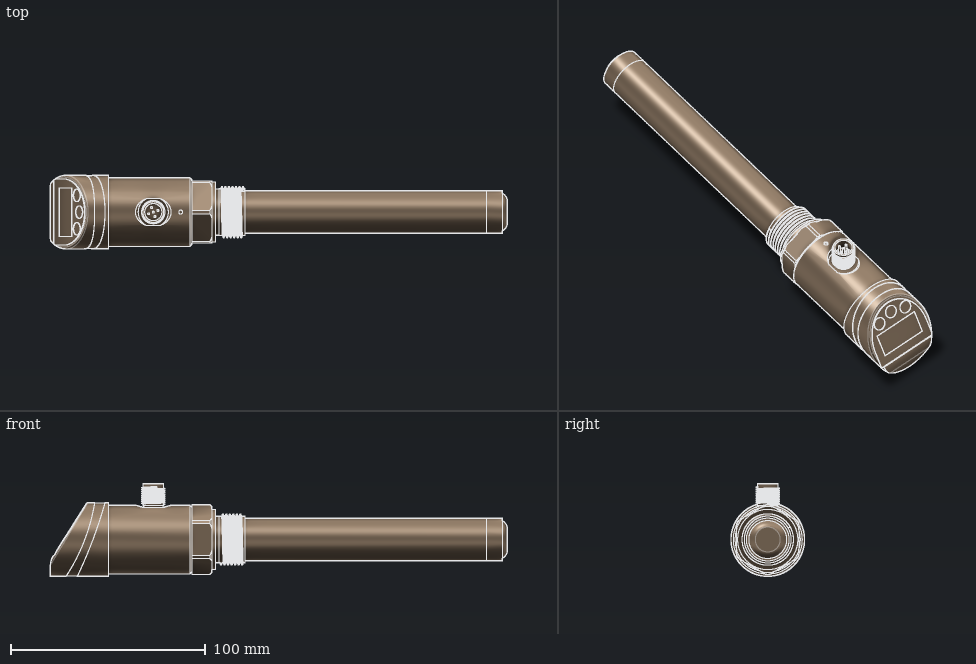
import cadquery as cq
import math


CAP_END = 30.0
HOUSING_END = 72.8
HEX_END = 83.1
COLLAR_END = 85.1
PROCESS_THREAD_START = 86.9
PROCESS_THREAD_END = 100.2
TUBE_END = 224.4
SENSOR_END = 235.0

CAP_DIAMETER = 38.0
CAP_RADIUS = CAP_DIAMETER / 2
FACE_TOP_X = 18.9
FACE_FOOT_Z = -10.8
NOSE_RADIUS = 10.4
FACE_RIM_RADIUS = 1.0
BAND_DEPTH = 0.2
BAND_FRONT_EDGE = ((8.1, -CAP_RADIUS), (17.8, 0), (22.9, CAP_RADIUS))
BAND_REAR_EDGE = ((13.9, -CAP_RADIUS), (22.0, 0), (28.2, CAP_RADIUS))

PANEL_RADIUS = 17.0
PANEL_FOOT_Z = -8.2
PANEL_DEPTH = 0.3
WINDOW_WIDTH = 24.9
WINDOW_BOTTOM_Z = -4.0
WINDOW_TOP_Z = 6.1
WINDOW_DEPTH = 0.2
BUTTON_DIAMETER = 6.5
BUTTON_DEPTH = 1.2
BUTTON_CENTERS = ((-8.6, 10.6), (0, 12.5), (8.6, 10.6))

HOUSING_DIAMETER = 35.5
HOUSING_CHAMFER = 1.0
CONNECTOR_X = 53.0
SEAT_Z = 16.35
SEAT_DIAMETER = 15.5
SEAT_RIM_DIAMETER = 19.1
SEAT_RIM_HEIGHT = (SEAT_RIM_DIAMETER - SEAT_DIAMETER) / 2
VENT_X = 67.1
VENT_DIAMETER = 2.0
VENT_DEPTH = 1.0

CONNECTOR_TOP = 28.7
CONNECTOR_THREAD_START = 17.6
CONNECTOR_THREAD_END = 27.4
CONNECTOR_THREAD_DIAMETER = 12.0
CONNECTOR_CORE_DIAMETER = 10.7
CONNECTOR_PITCH = 1.0
CONNECTOR_NECK_DIAMETER = 10.0
SOCKET_DIAMETER = 8.8
SOCKET_DEPTH = 6.5
PIN_DIAMETER = 1.0
PIN_LENGTH = 5.5
PIN_CIRCLE_RADIUS = 2.5
PIN_COUNT = 4
FIRST_PIN_ANGLE = 20.0

HEX_ACROSS_FLATS = 32.0
HEX_CORNER_DIAMETER = 36.0
HEX_CHAMFER = 1.0
COLLAR_DIAMETER = 31.0
PROCESS_THREAD_DIAMETER = 26.44
PROCESS_CORE_DIAMETER = 24.1
PROCESS_NECK_DIAMETER = 24.0
PROCESS_PITCH = 1.814

TUBE_DIAMETER = 22.0
TIP_NOSE_LENGTH = 2.6
TIP_NOSE_DIAMETER = 19.5
TIP_FLAT_DIAMETER = 12.8
TIP_NOSE_ROUNDING = 5.0

RIDGE_FOOT_SHARE = 0.85
RIDGE_CREST_SHARE = 0.2
RIDGE_ROOT_OVERLAP = 0.3


def rod(start, end, diameter):
    """Cylinder on the sensor axis."""
    return cq.Workplane("YZ", origin=(start, 0, 0)).circle(diameter / 2).extrude(end - start)


def post(bottom, top, diameter, x=CONNECTOR_X, y=0.0):
    """Upright cylinder."""
    return cq.Workplane("XY", origin=(x, y, bottom)).circle(diameter / 2).extrude(top - bottom)


def threaded_rod(length, outer_diameter, core_diameter, pitch):
    """Upright rod standing on the origin, with a helical ridge that stays within its ends."""
    core_radius = core_diameter / 2
    outer_radius = outer_diameter / 2
    root_radius = core_radius - RIDGE_ROOT_OVERLAP
    half_foot = pitch * RIDGE_FOOT_SHARE / 2
    half_crest = pitch * RIDGE_CREST_SHARE / 2
    helix = cq.Wire.makeHelix(pitch, length - pitch, core_radius)
    ridge = (
        cq.Workplane("XZ")
        .moveTo(root_radius, -half_foot)
        .lineTo(outer_radius, -half_crest)
        .lineTo(outer_radius, half_crest)
        .lineTo(root_radius, half_foot)
        .close()
        .sweep(cq.Workplane(helix), isFrenet=True)
        .translate((0, 0, pitch / 2))
    )
    core = cq.Workplane("XY").circle(core_radius).extrude(length)
    return core.union(ridge)


face_angle = math.atan2(CAP_RADIUS - FACE_FOOT_Z, FACE_TOP_X)
face_x_at_axis = -FACE_FOOT_Z / math.tan(face_angle)
face_plane = cq.Plane(
    origin=(face_x_at_axis, 0, 0),
    xDir=(0, -1, 0),
    normal=(-math.sin(face_angle), 0, math.cos(face_angle)),
)


def along_face(z):
    """Distance up the slanted face that reaches height z."""
    return z / math.sin(face_angle)


def cap_side_profile():
    """Prism with the side outline of the cap, sharp at the foot of the face."""
    return (
        cq.Workplane("XZ")
        .moveTo(0, -CAP_RADIUS)
        .lineTo(CAP_END, -CAP_RADIUS)
        .lineTo(CAP_END, CAP_RADIUS)
        .lineTo(FACE_TOP_X, CAP_RADIUS)
        .lineTo(0, FACE_FOOT_Z)
        .close()
        .extrude(CAP_RADIUS, both=True)
    )


def cap_blank():
    """Obliquely cut cylinder with a softened face rim and a rounded nose."""
    rim_edge = cq.selectors.NearestToPointSelector((FACE_TOP_X, 0, CAP_RADIUS))
    nose_edge = cq.selectors.NearestToPointSelector((0, 0, FACE_FOOT_Z))
    oblique_cylinder = cap_side_profile().intersect(rod(0, CAP_END, CAP_DIAMETER))
    rounded_nose = cap_side_profile().edges(nose_edge).fillet(NOSE_RADIUS)
    return oblique_cylinder.edges(rim_edge).fillet(FACE_RIM_RADIUS).intersect(rounded_nose)


def band_groove():
    """Shallow curved band around the cap, open to its surface."""
    front_bottom, front_middle, front_top = BAND_FRONT_EDGE
    rear_bottom, rear_middle, rear_top = BAND_REAR_EDGE
    band = (
        cq.Workplane("XZ")
        .moveTo(*front_bottom)
        .threePointArc(front_middle, front_top)
        .lineTo(*rear_top)
        .threePointArc(rear_middle, rear_bottom)
        .close()
        .extrude(CAP_DIAMETER, both=True)
    )
    return band.cut(rod(0, CAP_END, CAP_DIAMETER - 2 * BAND_DEPTH))


def panel_recess():
    """Round-topped recess in the slanted face, ending where the nose begins."""
    outline = (
        cq.Workplane("YZ")
        .moveTo(-PANEL_RADIUS, PANEL_FOOT_Z)
        .lineTo(PANEL_RADIUS, PANEL_FOOT_Z)
        .lineTo(PANEL_RADIUS, 0)
        .threePointArc((0, PANEL_RADIUS), (-PANEL_RADIUS, 0))
        .close()
        .extrude(CAP_END)
    )
    layer = cq.Workplane(face_plane).rect(4 * CAP_RADIUS, 4 * CAP_RADIUS).extrude(-PANEL_DEPTH)
    return outline.intersect(layer)


def window_recess():
    bottom = along_face(WINDOW_BOTTOM_Z)
    top = along_face(WINDOW_TOP_Z)
    return (
        cq.Workplane(face_plane)
        .workplane(offset=-PANEL_DEPTH)
        .center(0, (bottom + top) / 2)
        .rect(WINDOW_WIDTH, top - bottom)
        .extrude(-WINDOW_DEPTH)
    )


def button(side, z):
    """Round button, flush with the slanted face."""
    return (
        cq.Workplane(face_plane)
        .center(side, along_face(z))
        .circle(BUTTON_DIAMETER / 2)
        .extrude(-BUTTON_DEPTH)
    )


def make_cap(buttons):
    cap = cap_blank().cut(band_groove()).cut(panel_recess()).cut(window_recess())
    for key in buttons:
        cap = cap.cut(key)
    return cap


def make_housing():
    housing = rod(CAP_END, HOUSING_END, HOUSING_DIAMETER).faces(">X").chamfer(HOUSING_CHAMFER)
    seat = cq.Workplane(
        cq.Solid.makeCone(
            SEAT_DIAMETER / 2,
            SEAT_RIM_DIAMETER / 2,
            SEAT_RIM_HEIGHT,
            pnt=cq.Vector(CONNECTOR_X, 0, SEAT_Z),
        )
    )
    housing_top = HOUSING_DIAMETER / 2
    vent = post(housing_top - VENT_DEPTH, housing_top, VENT_DIAMETER, VENT_X)
    return housing.cut(seat).cut(vent)


def make_connector():
    thread = threaded_rod(
        CONNECTOR_THREAD_END - CONNECTOR_THREAD_START,
        CONNECTOR_THREAD_DIAMETER,
        CONNECTOR_CORE_DIAMETER,
        CONNECTOR_PITCH,
    ).translate((CONNECTOR_X, 0, CONNECTOR_THREAD_START))
    neck = post(SEAT_Z, CONNECTOR_THREAD_START, CONNECTOR_NECK_DIAMETER)
    lip = post(CONNECTOR_THREAD_END, CONNECTOR_TOP, CONNECTOR_CORE_DIAMETER)
    socket_floor = CONNECTOR_TOP - SOCKET_DEPTH
    socket = post(socket_floor, CONNECTOR_TOP, SOCKET_DIAMETER)
    connector = thread.union(neck).union(lip).cut(socket)
    pin_centers = [(CONNECTOR_X, 0)]
    for index in range(PIN_COUNT):
        angle = math.radians(FIRST_PIN_ANGLE + index * 360 / PIN_COUNT)
        pin_x = CONNECTOR_X + PIN_CIRCLE_RADIUS * math.cos(angle)
        pin_y = PIN_CIRCLE_RADIUS * math.sin(angle)
        pin_centers.append((pin_x, pin_y))
    for pin_x, pin_y in pin_centers:
        pin = post(socket_floor, socket_floor + PIN_LENGTH, PIN_DIAMETER, pin_x, pin_y)
        connector = connector.union(pin)
    return connector


def make_fitting():
    hexagon = (
        cq.Workplane("YZ", origin=(HOUSING_END, 0, 0))
        .polygon(6, HEX_ACROSS_FLATS, circumscribed=True)
        .extrude(HEX_END - HOUSING_END)
    )
    corner_turning = rod(HOUSING_END, HEX_END, HEX_CORNER_DIAMETER).faces(">X").chamfer(HEX_CHAMFER)
    thread = (
        threaded_rod(
            PROCESS_THREAD_END - PROCESS_THREAD_START,
            PROCESS_THREAD_DIAMETER,
            PROCESS_CORE_DIAMETER,
            PROCESS_PITCH,
        )
        .rotate((0, 0, 0), (0, 1, 0), 90)
        .translate((PROCESS_THREAD_START, 0, 0))
    )
    return (
        hexagon.intersect(corner_turning)
        .union(rod(HEX_END, COLLAR_END, COLLAR_DIAMETER))
        .union(rod(COLLAR_END, PROCESS_THREAD_START, PROCESS_NECK_DIAMETER))
        .union(thread)
    )


def make_tip():
    """Tube end with a rounded nose, stepped in from the tube and flat at its end."""
    shoulder_x = SENSOR_END - TIP_NOSE_LENGTH
    return (
        cq.Workplane("XY")
        .moveTo(TUBE_END, 0)
        .lineTo(TUBE_END, TUBE_DIAMETER / 2)
        .lineTo(shoulder_x, TUBE_DIAMETER / 2)
        .lineTo(shoulder_x, TIP_NOSE_DIAMETER / 2)
        .radiusArc((SENSOR_END, TIP_FLAT_DIAMETER / 2), TIP_NOSE_ROUNDING)
        .lineTo(SENSOR_END, 0)
        .close()
        .revolve(360, (0, 0, 0), (1, 0, 0))
    )


buttons = [button(side, z) for side, z in BUTTON_CENTERS]
cap = make_cap(buttons)
housing = make_housing()
connector = make_connector()
fitting = make_fitting()
tube = rod(PROCESS_THREAD_END, TUBE_END, TUBE_DIAMETER)
tip = make_tip()

result = cq.Compound.makeCompound(
    [
        cap.val(),
        *[key.val() for key in buttons],
        housing.val(),
        connector.val(),
        fitting.val(),
        tube.val(),
        tip.val(),
    ]
)